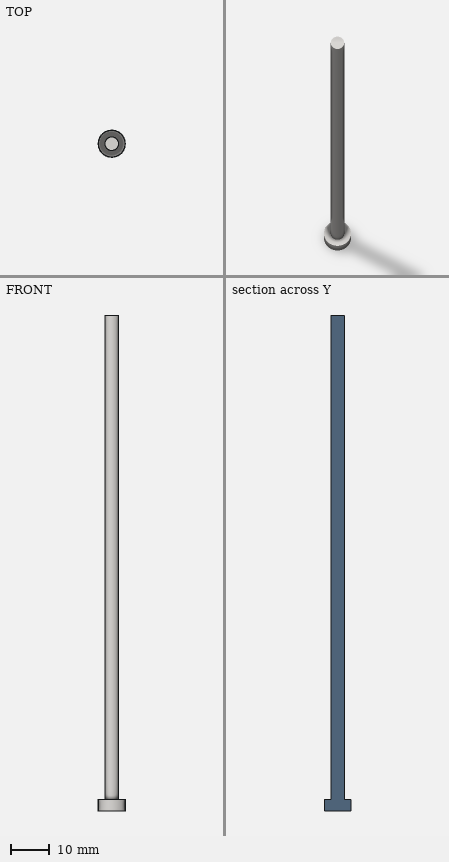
import cadquery as cq

total_length = 128.0
head_diameter = 7.0
head_height = 3.0
shaft_diameter = 3.5

shaft_length = total_length - head_height


def make_head():
    """Disc with its underside on the XY plane."""
    return cq.Workplane("XY").circle(head_diameter / 2).extrude(head_height)


def add_shaft(body):
    """Round shaft rising from the centre of the head's upper face."""
    return body.faces(">Z").workplane().circle(shaft_diameter / 2).extrude(shaft_length)


result = add_shaft(make_head())